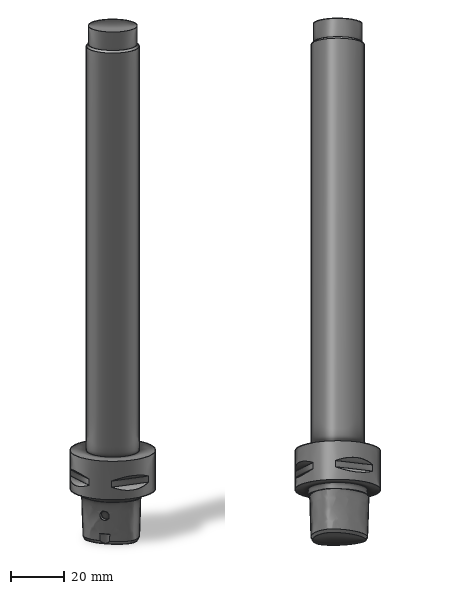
import cadquery as cq
import math

TOTAL_HEIGHT = 199.0
LEAD_IN_HEIGHT = 1.2
NECK_BOTTOM = 16.7
FLANGE_BOTTOM = 19.1
FLANGE_TOP = 34.0
SHAFT_TOP = 191.0
TIP_BOTTOM = 191.8

FLANGE_RADIUS = 16.02
NECK_RADIUS = 11.1
SHAFT_RADIUS = 10.0
TIP_RADIUS = 9.2

SHANK_MEAN_RADIUS = 11.1
LOBE_RISE = 0.7
TAPER = 0.033
LEAD_IN_INSET = 0.5
LOBE_COUNT = 3
LOBE_DIRECTION = math.pi / 2
OUTLINE_POINTS = 48

GROOVE_COUNT = 4
GROOVE_HEIGHT = 25.17
GROOVE_FLOOR_DISTANCE = 14.03
GROOVE_FLOOR_HALF_WIDTH = 1.2
GROOVE_MOUTH_HALF_WIDTH = 2.8

DIMPLE_DIAMETER = 3.5
DIMPLE_HEIGHT = 11.1
DIMPLE_DEPTH = 2.0
NOTCH_RADIUS = 4.5
NOTCH_HEIGHT = 4.0
NOTCH_FLOOR_DISTANCE = 9.45


def lobed_outline(mean_radius):
    """Points of a constant-width curve with lobes, found from its support distance."""
    points = []
    for i in range(OUTLINE_POINTS):
        angle = 2 * math.pi * i / OUTLINE_POINTS
        phase = LOBE_COUNT * (angle - LOBE_DIRECTION)
        support = mean_radius + LOBE_RISE * math.cos(phase)
        slope = -LOBE_COUNT * LOBE_RISE * math.sin(phase)
        x = support * math.cos(angle) - slope * math.sin(angle)
        y = support * math.sin(angle) + slope * math.cos(angle)
        points.append((x, y))
    return points


def lobed_frustum(bottom, bottom_radius, top, top_radius):
    """Loft between two lobed outlines."""
    return (
        cq.Workplane("XY", origin=(0, 0, bottom))
        .spline(lobed_outline(bottom_radius), periodic=True).close()
        .workplane(offset=top - bottom)
        .spline(lobed_outline(top_radius), periodic=True).close()
        .loft(ruled=True)
    )


def turned_body():
    """Neck, flange, shaft and tip as one revolved profile."""
    return (
        cq.Workplane("XZ")
        .moveTo(0, NECK_BOTTOM)
        .lineTo(NECK_RADIUS, NECK_BOTTOM)
        .lineTo(NECK_RADIUS, FLANGE_BOTTOM)
        .lineTo(FLANGE_RADIUS, FLANGE_BOTTOM)
        .lineTo(FLANGE_RADIUS, FLANGE_TOP)
        .lineTo(SHAFT_RADIUS, FLANGE_TOP)
        .lineTo(SHAFT_RADIUS, SHAFT_TOP)
        .lineTo(TIP_RADIUS, TIP_BOTTOM)
        .lineTo(TIP_RADIUS, TOTAL_HEIGHT)
        .lineTo(0, TOTAL_HEIGHT)
        .close()
        .revolve()
    )


def shank():
    """Tapered lobed shank with a steeper lead-in at its lower end."""
    lower_radius = SHANK_MEAN_RADIUS - TAPER * (NECK_BOTTOM - LEAD_IN_HEIGHT)
    taper = lobed_frustum(LEAD_IN_HEIGHT, lower_radius, NECK_BOTTOM, SHANK_MEAN_RADIUS)
    lead_in = lobed_frustum(0, lower_radius - LEAD_IN_INSET, LEAD_IN_HEIGHT, lower_radius)
    return taper.union(lead_in)


def gripper_groove(angle):
    """Straight groove with sloping flanks, cut into the flange at the given angle."""
    return (
        cq.Workplane("XZ")
        .moveTo(GROOVE_FLOOR_DISTANCE, GROOVE_HEIGHT - GROOVE_FLOOR_HALF_WIDTH)
        .lineTo(FLANGE_RADIUS, GROOVE_HEIGHT - GROOVE_MOUTH_HALF_WIDTH)
        .lineTo(FLANGE_RADIUS, GROOVE_HEIGHT + GROOVE_MOUTH_HALF_WIDTH)
        .lineTo(GROOVE_FLOOR_DISTANCE, GROOVE_HEIGHT + GROOVE_FLOOR_HALF_WIDTH)
        .close()
        .extrude(FLANGE_RADIUS, both=True)
        .rotate((0, 0, 0), (0, 0, 1), angle)
    )


def dimple():
    """Round recess facing -Y."""
    flat_distance = SHANK_MEAN_RADIUS - LOBE_RISE - TAPER * (NECK_BOTTOM - DIMPLE_HEIGHT)
    floor_y = DIMPLE_DEPTH - flat_distance
    return (
        cq.Workplane("XZ", origin=(0, floor_y, DIMPLE_HEIGHT))
        .circle(DIMPLE_DIAMETER / 2)
        .extrude(FLANGE_RADIUS)
    )


def locating_notch():
    """Upright round-backed notch at the lower end, facing -Y."""
    return (
        cq.Workplane("XY")
        .center(0, -NOTCH_FLOOR_DISTANCE - NOTCH_RADIUS)
        .circle(NOTCH_RADIUS)
        .extrude(NOTCH_HEIGHT)
    )


result = turned_body().union(shank())
for i in range(GROOVE_COUNT):
    groove_angle = 360 / GROOVE_COUNT * (i + 0.5)
    result = result.cut(gripper_groove(groove_angle))
result = result.cut(dimple()).cut(locating_notch())